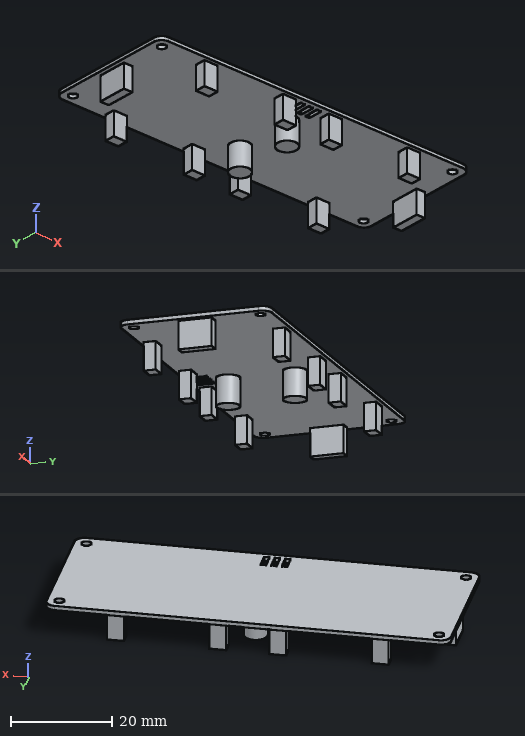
import cadquery as cq

plate_length = 81.6
plate_width = 31.6
plate_thickness = 1.0
total_height = 6.85
corner_radius = 2.0

hole_diameter = 1.95
hole_edge_distance = 2.5

slot_count = 3
slot_width = 1.1
slot_length = 3.5
slot_pitch = 2.1
slot_edge_distance = 1.4

support_height = total_height - plate_thickness
side_post_length = 3.4
side_post_width = 2.5
side_post_edge_distance = 1.0
inner_post_x = 6.0
outer_post_x = 26.7
end_block_length = 2.2
end_block_width = 7.0
end_block_edge_distance = 1.15
pin_diameter = 4.8
pin_spacing = 14.0
pin_row_offset = -0.25


def make_plate():
    blank = cq.Workplane("XY").workplane(offset=-plate_thickness).rect(plate_length, plate_width)
    return blank.extrude(plate_thickness).edges("|Z").fillet(corner_radius)


def make_corner_holes():
    spacing_x = plate_length - 2 * hole_edge_distance
    spacing_y = plate_width - 2 * hole_edge_distance
    centres = cq.Workplane("XY").rect(spacing_x, spacing_y, forConstruction=True).vertices()
    return centres.circle(hole_diameter / 2).extrude(-plate_thickness)


def make_slots():
    slot_y = -plate_width / 2 + slot_edge_distance + slot_length / 2
    row = cq.Workplane("XY").center(0, slot_y).rarray(slot_pitch, 0.8, slot_count, 1)
    return row.rect(slot_width, slot_length).extrude(-plate_thickness)


def supports_at(centres):
    """Start a sketch on the underside of the plate with the given support centres."""
    return cq.Workplane("XY").workplane(offset=-plate_thickness).pushPoints(centres)


def make_side_posts():
    post_y = plate_width / 2 - side_post_edge_distance - side_post_width / 2
    post_columns = (-outer_post_x, -inner_post_x, inner_post_x, outer_post_x)
    centres = [(x, y) for x in post_columns for y in (-post_y, post_y)]
    return supports_at(centres).rect(side_post_length, side_post_width).extrude(-support_height)


def make_end_blocks():
    block_x = plate_length / 2 - end_block_edge_distance - end_block_length / 2
    centres = [(-block_x, 0), (block_x, 0)]
    return supports_at(centres).rect(end_block_length, end_block_width).extrude(-support_height)


def make_pins():
    centres = [(0, pin_row_offset + side * pin_spacing / 2) for side in (-1, 1)]
    return supports_at(centres).circle(pin_diameter / 2).extrude(-support_height)


plate = make_plate().cut(make_corner_holes()).cut(make_slots())
result = plate.union(make_side_posts()).union(make_end_blocks()).union(make_pins())